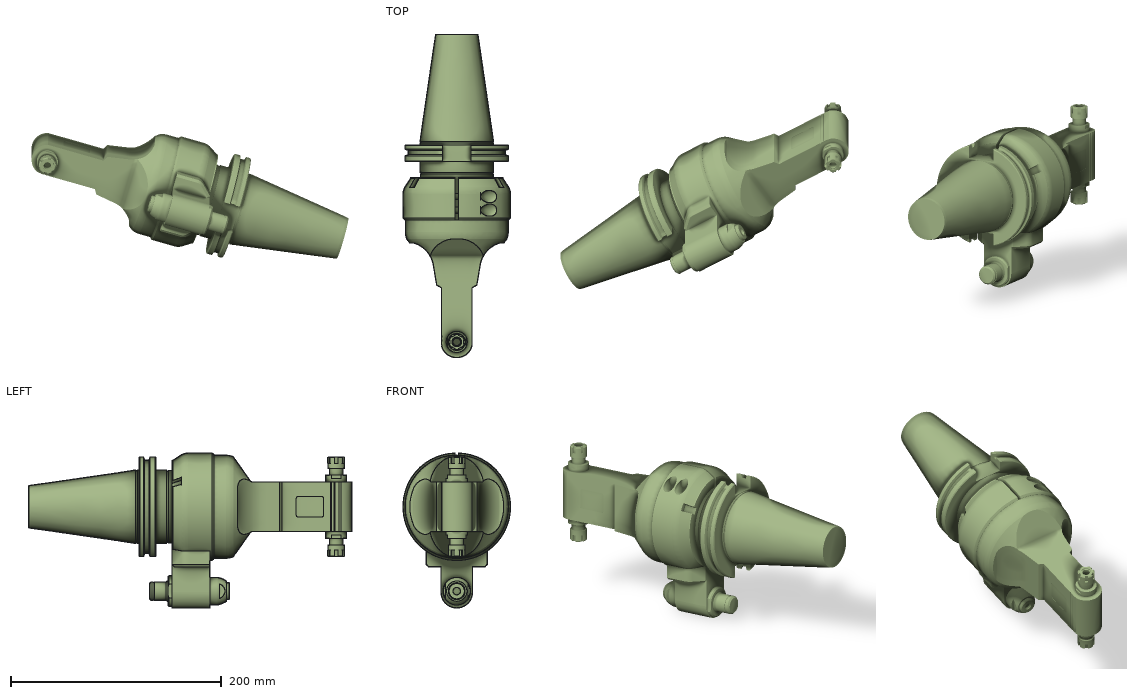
import cadquery as cq
import math


BIG = 400.0

taper_length = 101.6
gauge_radius = 69.85 / 2
taper_ratio = 7 / 24
taper_end_radius = gauge_radius - taper_length * taper_ratio / 2
taper_end_chamfer = 0.2
taper_end_land = 2.5
relief_depth = 0.6
relief_width = 1.5
flange_back_y = -3.2
flange_front_y = -19.1
flange_radius = 98.43 / 2
flange_edge_chamfer = 0.8
flange_groove_y = -10.5
flange_groove_floor_radius = 46.1
flange_groove_floor_width = 4.1
flange_groove_mouth_width = 6.4
keyway_width = 26.6
keyway_floor = 35.3
neck_radius = 35.0
neck_step_y = -29.3
neck_groove_width = 1.6
neck_groove_depth = 1.2
neck_end_radius = 34.6

ring_back_y = -34.25
ring_front_y = -74.3
ring_length = ring_back_y - ring_front_y
ring_radius = 51.0
ring_back_radius = 44.0
ring_back_lip = 0.9
ring_cone_y = -43.6
ring_cone_radius = 49.4
ring_round_end_y = -50.0
ring_round_rise = 0.4
ring_front_chamfer = 1.9
split_width = 3.0
screw_hole_radius = 11.5 / 2
screw_radius = 6.0 / 2
screw_z = 40.0
screw_seat_x = 22.5
screw_ys = (-52.2, -65.1)
notch_angle = 30.0
notch_span = 9.0
notch_depth = 5.0

bracket_front_y = -70.2
wing_half_width = 29.0
wing_bottom_z = -57.0
wing_chamfer = 2.3
wing_back_half_width = 17.0
wing_corner_y = ring_back_y - (wing_half_width - wing_back_half_width)
wing_corner_round = 9.5
lug_half_width = 15.0
lug_bottom_z = -96.0

pin_z = -80.0
pin_tail_y = -13.0
pin_tail_chamfer = 1.5
pin_tail_radius = 8.8
pin_groove_y = -17.2
pin_groove_width = 1.4
pin_groove_depth = 0.4
pin_flare_y = -28.8
pin_flare_radius = 9.8
pin_collar_y = -30.4
pin_collar_radius = 14.6
pin_collar_chamfer = 1.2
pin_collar_flat_x = 13.0
pin_nose_radius = 13.1
pin_nose_straight_y = -76.6
pin_shoulder_middle = (13.0, -78.0)
pin_shoulder_end = (12.6, -79.3)
pin_nose_middle = (11.5, -82.6)
pin_nose_end_y = -85.9
pin_nose_end_radius = 9.6
pin_tip_y = -89.0
pin_tip_radius = 8.0
pin_tip_chamfer = 0.7
pin_flat_x = 10.5
pin_socket_radius = 7.0 / 2
pin_socket_depth = 3.0

drum_radius = 48.9
drum_round_y = -85.9
drum_round_middle = (48.4, -89.6)
cone_start_y = -92.9
cone_start_radius = 47.2
cone_slope = 0.77
shoulder_y = -96.4
shoulder_half_width = 40.5
scoop_end = (22.3, -117.0)
root_end = (19.1, -136.2)
arm_step_y = -138.7
arm_half_height = 23.5
bevel_start_z = 46.6
bevel_end_z = 25.0
bevel_end_y = -108.2
bevel_round_middle = (-109.5, 23.9)
bevel_round_end_y = -111.3
arm_end_y = taper_length - 306.54
spindle_y = -190.0
arm_half_width = 14.5
arm_end_radius = spindle_y - arm_end_y
arm_round_y = spindle_y - math.sqrt(arm_end_radius**2 - arm_half_width**2)
label_size = (26.0, 19.5)
label_corner = 2.0
label_depth = 0.2
label_y = -165.1
groove_depth = 0.4
grooves = ((-184.9, 0.9), (-188.6, 0.9), (-193.6, 1.8))

spindle_radius = 13.0 / 2
collar_radius = 20.0 / 2
collar_top_z = 30.0
collar_flat_x = 9.0
collar_flat_z = 26.6
nut_radius = 16.0 / 2
nut_bottom_z = 36.3
nut_top_z = 47.3
nut_chamfer = 0.8
nut_slot_count = 6
nut_slot_width = 3.0
nut_slot_floor_radius = 6.3
nut_slot_depth = 6.5
nut_mouth_radius = 9.0 / 2
nut_mouth_depth = 1.0
collet_bore_radius = 7.0 / 2
collet_bore_depth = 12.0


def turned(outline):
    """Revolve a closed outline of (radius, y) points about the Y axis."""
    return outline.close().revolve(360, (0, 0, 0), (0, 1, 0))


def cylinder_y(radius, y_from, y_to, z=0.0):
    """Cylinder parallel to Y between two stations."""
    return cq.Workplane("XZ", origin=(0, y_from, z)).circle(radius).extrude(y_from - y_to)


def flats_cutter(flat_x, y_from, y_to, z_from, z_to):
    """Two blocks that leave only |x| < flat_x between the given limits."""
    block = cq.Workplane().box(BIG, y_from - y_to, z_to - z_from)
    center = ((y_from + y_to) / 2, (z_from + z_to) / 2)
    left = block.translate((-flat_x - BIG / 2, *center))
    right = block.translate((flat_x + BIG / 2, *center))
    return left.union(right)


def make_shank():
    mouth = flange_groove_mouth_width / 2
    floor = flange_groove_floor_width / 2
    chamfer = flange_edge_chamfer
    land_radius = taper_end_radius + taper_end_land * taper_ratio / 2
    outline = (
        cq.Workplane("XY")
        .moveTo(0, taper_length)
        .lineTo(taper_end_radius - taper_end_chamfer, taper_length)
        .lineTo(land_radius, taper_length - taper_end_land)
        .lineTo(gauge_radius, 0)
        .lineTo(gauge_radius - relief_depth, 0)
        .lineTo(gauge_radius - relief_depth, -relief_width)
        .lineTo(neck_radius, -relief_width)
        .lineTo(neck_radius, flange_back_y)
        .lineTo(flange_radius - chamfer, flange_back_y)
        .lineTo(flange_radius, flange_back_y - chamfer)
        .lineTo(flange_radius, flange_groove_y + mouth)
        .lineTo(flange_groove_floor_radius, flange_groove_y + floor)
        .lineTo(flange_groove_floor_radius, flange_groove_y - floor)
        .lineTo(flange_radius, flange_groove_y - mouth)
        .lineTo(flange_radius, flange_front_y + chamfer)
        .lineTo(flange_radius - chamfer, flange_front_y)
        .lineTo(neck_radius, flange_front_y)
        .lineTo(neck_radius, neck_step_y)
        .lineTo(neck_radius - neck_groove_depth, neck_step_y)
        .lineTo(neck_radius - neck_groove_depth, neck_step_y - neck_groove_width)
        .lineTo(neck_end_radius, neck_step_y - neck_groove_width)
        .lineTo(neck_end_radius, ring_front_y)
        .lineTo(0, ring_front_y)
    )
    shank = turned(outline)
    flange_width = flange_back_y - flange_front_y
    keyway_height = BIG / 2
    keyway = cq.Workplane().box(keyway_width, flange_width, keyway_height)
    flange_y = (flange_back_y + flange_front_y) / 2
    for side in (1, -1):
        shank = shank.cut(keyway.translate((0, flange_y, side * (keyway_floor + keyway_height / 2))))
    return shank


def make_drum_and_arm():
    cone_end_radius = arm_half_width / 2
    cone_end_y = cone_start_y - (cone_start_radius - cone_end_radius) / cone_slope
    drum = turned(
        cq.Workplane("XY")
        .moveTo(0, ring_front_y)
        .lineTo(drum_radius, ring_front_y)
        .lineTo(drum_radius, drum_round_y)
        .threePointArc(drum_round_middle, (cone_start_radius, cone_start_y))
        .lineTo(cone_end_radius, cone_end_y)
        .lineTo(0, cone_end_y)
    )
    plan = (
        cq.Workplane("XY")
        .moveTo(0, arm_end_y)
        .radiusArc((arm_half_width, arm_round_y), -arm_end_radius)
        .lineTo(arm_half_width, arm_step_y)
        .lineTo(*root_end)
        .lineTo(*scoop_end)
        .tangentArcPoint((shoulder_half_width, shoulder_y), relative=False)
        .lineTo(BIG / 2, shoulder_y)
        .lineTo(BIG / 2, ring_front_y)
        .lineTo(0, ring_front_y)
        .close()
        .extrude(BIG / 2, both=True)
    )
    plan = plan.union(plan.mirror("YZ"))
    slope = (bevel_start_z - bevel_end_z) / (cone_start_y - bevel_end_y)
    bevel_top_z = bevel_start_z + slope * (ring_front_y - cone_start_y)
    side_outline = (
        cq.Workplane("YZ")
        .moveTo(ring_front_y, 0)
        .lineTo(ring_front_y, bevel_top_z)
        .lineTo(bevel_end_y, bevel_end_z)
        .threePointArc(bevel_round_middle, (bevel_round_end_y, arm_half_height))
        .lineTo(arm_end_y, arm_half_height)
        .lineTo(arm_end_y, 0)
        .close()
        .extrude(BIG / 2, both=True)
    )
    side_outline = side_outline.union(side_outline.mirror("XY"))
    arm_length = bevel_end_y - arm_end_y
    arm_block = cq.Workplane().box(2 * shoulder_half_width, arm_length, 2 * bevel_end_z)
    arm_block = arm_block.translate((0, bevel_end_y - arm_length / 2, 0))
    return drum.union(arm_block).intersect(plan).intersect(side_outline)


def make_housing():
    housing = make_shank().union(make_drum_and_arm())
    label = cq.Workplane().box(label_depth, *label_size).edges("|X").fillet(label_corner)
    for side in (-1, 1):
        housing = housing.cut(label.translate((side * (arm_half_width - label_depth / 2), label_y, 0)))
    for y, width in grooves:
        groove = cq.Workplane().box(groove_depth, width, 2 * arm_half_height)
        housing = housing.cut(groove.translate((-arm_half_width + groove_depth / 2, y, 0)))
    bore = cq.Workplane("XY").circle(spindle_radius).extrude(arm_half_height, both=True)
    return housing.cut(bore.translate((0, spindle_y, 0)))


def make_ring_blank():
    round_middle = (ring_radius - ring_round_rise, (ring_cone_y + ring_round_end_y) / 2)
    return turned(
        cq.Workplane("XY")
        .moveTo(0, ring_back_y)
        .lineTo(ring_back_radius, ring_back_y)
        .lineTo(ring_back_radius, ring_back_y - ring_back_lip)
        .lineTo(ring_cone_radius, ring_cone_y)
        .threePointArc(round_middle, (ring_radius, ring_round_end_y))
        .lineTo(ring_radius, ring_front_y + ring_front_chamfer)
        .lineTo(ring_radius - ring_front_chamfer, ring_front_y)
        .lineTo(0, ring_front_y)
    )


def make_bracket():
    wings = (
        cq.Workplane("XY", origin=(0, 0, wing_bottom_z))
        .moveTo(-wing_back_half_width, ring_back_y)
        .lineTo(wing_back_half_width, ring_back_y)
        .lineTo(wing_half_width, wing_corner_y)
        .lineTo(wing_half_width, bracket_front_y)
        .lineTo(-wing_half_width, bracket_front_y)
        .lineTo(-wing_half_width, wing_corner_y)
        .close()
        .extrude(-wing_bottom_z)
    )
    wings = wings.edges("|Z and (<X or >X)").edges(">Y").fillet(wing_corner_round)
    wings = wings.faces("<Z").edges("not <Y").chamfer(wing_chamfer)
    lug_round_z = lug_bottom_z + lug_half_width
    lug = (
        cq.Workplane("XZ", origin=(0, ring_back_y, 0))
        .moveTo(-lug_half_width, 0)
        .lineTo(-lug_half_width, lug_round_z)
        .threePointArc((0, lug_bottom_z), (lug_half_width, lug_round_z))
        .lineTo(lug_half_width, 0)
        .close()
        .extrude(ring_back_y - bracket_front_y)
    )
    return wings.union(lug)


def make_notch(angle):
    """Shallow notch along the back cone of the ring, centred at an angle above +X."""
    notch = (
        cq.Workplane("XY")
        .moveTo(ring_back_radius - notch_depth, ring_back_y)
        .lineTo(ring_radius, ring_back_y)
        .lineTo(ring_radius, ring_cone_y)
        .lineTo(ring_cone_radius - notch_depth, ring_cone_y)
        .close()
        .revolve(notch_span, (0, 0, 0), (0, 1, 0))
    )
    return notch.rotate((0, 0, 0), (0, 1, 0), -angle - notch_span / 2)


def make_clamp_ring():
    ring = make_ring_blank().union(make_bracket())
    ring = ring.cut(cylinder_y(neck_end_radius, ring_back_y, ring_front_y))
    split = cq.Workplane().box(split_width, ring_length, BIG)
    ring = ring.cut(split.translate((0, (ring_back_y + ring_front_y) / 2, BIG / 2)))
    for angle in (notch_angle, 180 - notch_angle):
        ring = ring.cut(make_notch(angle))
    for y in screw_ys:
        place = cq.Workplane("YZ", origin=(screw_seat_x, y, screw_z))
        ring = ring.cut(place.circle(screw_hole_radius).extrude(ring_radius))
        screw = cq.Workplane("YZ", origin=(0, y, screw_z)).circle(screw_radius)
        ring = ring.union(screw.extrude(split_width, both=True))
    return ring.cut(cylinder_y(pin_tail_radius, ring_back_y, bracket_front_y, pin_z))


def make_locating_pin():
    pin = turned(
        cq.Workplane("XY")
        .moveTo(0, pin_tail_y)
        .lineTo(pin_tail_radius - pin_tail_chamfer, pin_tail_y)
        .lineTo(pin_tail_radius, pin_tail_y - pin_tail_chamfer)
        .lineTo(pin_tail_radius, pin_groove_y + pin_groove_width / 2)
        .lineTo(pin_tail_radius - pin_groove_depth, pin_groove_y + pin_groove_width / 2)
        .lineTo(pin_tail_radius - pin_groove_depth, pin_groove_y - pin_groove_width / 2)
        .lineTo(pin_tail_radius, pin_groove_y - pin_groove_width / 2)
        .lineTo(pin_tail_radius, pin_flare_y)
        .lineTo(pin_flare_radius, pin_collar_y)
        .lineTo(pin_collar_radius - pin_collar_chamfer, pin_collar_y)
        .lineTo(pin_collar_radius, pin_collar_y - pin_collar_chamfer)
        .lineTo(pin_collar_radius, ring_back_y)
        .lineTo(pin_tail_radius, ring_back_y)
        .lineTo(pin_tail_radius, bracket_front_y)
        .lineTo(pin_nose_radius, bracket_front_y)
        .lineTo(pin_nose_radius, pin_nose_straight_y)
        .threePointArc(pin_shoulder_middle, pin_shoulder_end)
        .threePointArc(pin_nose_middle, (pin_nose_end_radius, pin_nose_end_y))
        .lineTo(pin_tip_radius, pin_nose_end_y)
        .lineTo(pin_tip_radius, pin_tip_y + pin_tip_chamfer)
        .lineTo(pin_tip_radius - pin_tip_chamfer, pin_tip_y)
        .lineTo(0, pin_tip_y)
    )
    reach = pin_collar_radius
    pin = pin.cut(flats_cutter(pin_collar_flat_x, pin_collar_y, ring_back_y, -reach, reach))
    pin = pin.cut(flats_cutter(pin_flat_x, pin_shoulder_end[1], pin_tip_y, -reach, reach))
    pin = pin.cut(cylinder_y(pin_socket_radius, pin_tip_y + pin_socket_depth, pin_tip_y))
    return pin.translate((0, 0, pin_z))


def make_spindle_end():
    """Collar, shaft and collet nut above the middle of the arm, on the Z axis."""
    end = (
        cq.Workplane("XZ")
        .lineTo(spindle_radius, 0)
        .lineTo(spindle_radius, arm_half_height)
        .lineTo(collar_radius, arm_half_height)
        .lineTo(collar_radius, collar_top_z)
        .lineTo(spindle_radius, collar_top_z)
        .lineTo(spindle_radius, nut_bottom_z)
        .lineTo(nut_radius, nut_bottom_z)
        .lineTo(nut_radius, nut_top_z - nut_chamfer)
        .lineTo(nut_radius - nut_chamfer, nut_top_z)
        .lineTo(nut_mouth_radius, nut_top_z)
        .lineTo(nut_mouth_radius, nut_top_z - nut_mouth_depth)
        .lineTo(collet_bore_radius, nut_top_z - nut_mouth_depth)
        .lineTo(collet_bore_radius, nut_top_z - collet_bore_depth)
        .lineTo(0, nut_top_z - collet_bore_depth)
        .close()
        .revolve(360, (0, 0, 0), (0, 1, 0))
    )
    end = end.cut(flats_cutter(collar_flat_x, collar_radius, -collar_radius, collar_flat_z, collar_top_z))
    slot = cq.Workplane().box(nut_radius, nut_slot_width, nut_slot_depth)
    slot = slot.translate((nut_slot_floor_radius + nut_radius / 2, 0, nut_top_z - nut_slot_depth / 2))
    for i in range(nut_slot_count):
        end = end.cut(slot.rotate((0, 0, 0), (0, 0, 1), i * 360 / nut_slot_count))
    return end


def make_spindle():
    end = make_spindle_end()
    return end.union(end.mirror("XY")).translate((0, spindle_y, 0))


housing = make_housing()
clamp_ring = make_clamp_ring()
locating_pin = make_locating_pin()
spindle = make_spindle()

result = cq.Compound.makeCompound([housing.val(), clamp_ring.val(), locating_pin.val(), spindle.val()])